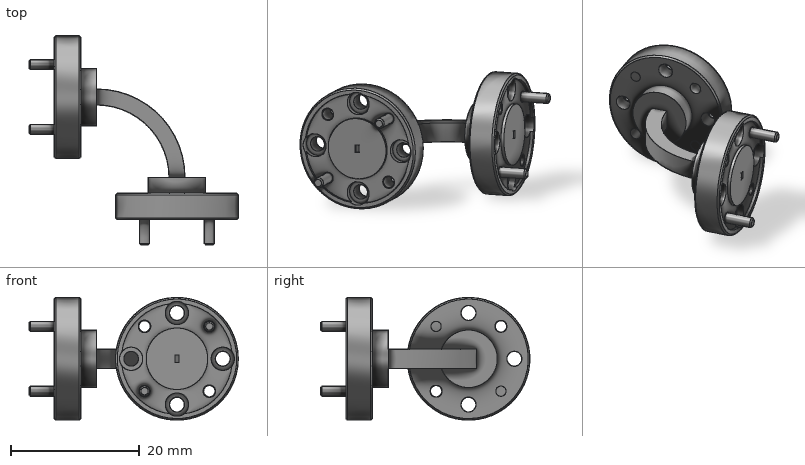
import cadquery as cq
import math

overall_length = 32.45
flange_diameter = 19.05
hub_length = 2.45
flange_thickness = 4.12
pin_reach = 3.9

face_height = hub_length + flange_thickness
pin_tip_height = face_height + pin_reach
bend_radius = overall_length - flange_diameter / 2 - pin_tip_height

hub_diameter = 8.92
flange_chamfer = 0.25
recess_outer_diameter = 17.2
recess_inner_diameter = 9.55
recess_depth = 0.5
recess_floor = face_height - recess_depth

hole_circle_radius = 7.1
screw_hole_diameter = 2.27
counterbore_diameter = 3.6
counterbore_depth = 1.55
open_hole_diameter = 1.75
pin_hole_chamfer = 0.1
screw_hole_angles = [0, 90, 180, 270]
open_hole_angles = [135, 315]
pin_angles = [45, 225]

pin_diameter = 1.6
pin_chamfer = 0.23

tube_width = 2.5
tube_height = 3.02
port_width = 0.65
port_height = 1.17
port_depth = 0.4

flange_frames = [
    cq.Plane(origin=(0, bend_radius, 0), xDir=(0, -1, 0), normal=(-1, 0, 0)),
    cq.Plane(origin=(bend_radius, 0, 0), xDir=(1, 0, 0), normal=(0, -1, 0)),
]


def circle_points(angles):
    """Points of the hole circle at the given angles in degrees."""
    return [
        (hole_circle_radius * math.cos(math.radians(a)), hole_circle_radius * math.sin(math.radians(a)))
        for a in angles
    ]


def disc(frame, start, end, diameter):
    """Cylinder on the flange axis between two heights."""
    return cq.Workplane(frame).workplane(offset=start).circle(diameter / 2).extrude(end - start)


def holes(frame, angles, start, diameter):
    """Cylinders on the hole circle, from a start height up to the flange face."""
    plane = cq.Workplane(frame).workplane(offset=start)
    return plane.pushPoints(circle_points(angles)).circle(diameter / 2).extrude(face_height - start)


def chamfered_holes(frame, angles, diameter):
    """Through holes on the hole circle, with a chamfer where they open into the recess floor."""
    chamfer_plane = cq.Workplane(frame).workplane(offset=recess_floor - pin_hole_chamfer)
    chamfers = (
        chamfer_plane.pushPoints(circle_points(angles))
        .circle(diameter / 2)
        .extrude(pin_hole_chamfer, taper=-45)
    )
    return holes(frame, angles, hub_length, diameter).union(chamfers)


def make_flange(frame):
    """Round flange with its hub, face recess, hole pattern and port."""
    plate = disc(frame, hub_length, face_height, flange_diameter).edges().chamfer(flange_chamfer)
    hub = disc(frame, 0, hub_length, hub_diameter)
    recess = disc(frame, recess_floor, face_height, recess_outer_diameter).cut(
        disc(frame, recess_floor, face_height, recess_inner_diameter)
    )
    port_plane = cq.Workplane(frame).workplane(offset=face_height - port_depth)
    port = port_plane.rect(port_width, port_height).extrude(port_depth)
    return (
        plate.union(hub)
        .cut(recess)
        .cut(holes(frame, screw_hole_angles, hub_length, screw_hole_diameter))
        .cut(holes(frame, screw_hole_angles, face_height - counterbore_depth, counterbore_diameter))
        .cut(chamfered_holes(frame, open_hole_angles, open_hole_diameter))
        .cut(chamfered_holes(frame, pin_angles, pin_diameter))
        .cut(port)
    )


def make_bend():
    """Rectangular tube turning a quarter circle between the two hubs."""
    section = cq.Workplane("XZ").center(bend_radius, 0).rect(tube_width, tube_height)
    return section.revolve(90, (-bend_radius, 0), (-bend_radius, 1))


def make_waveguide():
    """Curved tube with a flange at each end, as one solid."""
    body = make_bend()
    for frame in flange_frames:
        body = body.union(make_flange(frame))
    return body


def make_pin(frame, point):
    """Dowel pin from the back of the flange to its chamfered tip."""
    base = cq.Workplane(frame).workplane(offset=hub_length).center(*point)
    pin = base.circle(pin_diameter / 2).extrude(pin_tip_height - hub_length)
    tip_direction = cq.selectors.DirectionMinMaxSelector(frame.zDir, True)
    return pin.faces(tip_direction).edges().chamfer(pin_chamfer)


waveguide = make_waveguide()
pins = [make_pin(frame, point) for frame in flange_frames for point in circle_points(pin_angles)]

result = cq.Compound.makeCompound([waveguide.val(), *[pin.val() for pin in pins]])